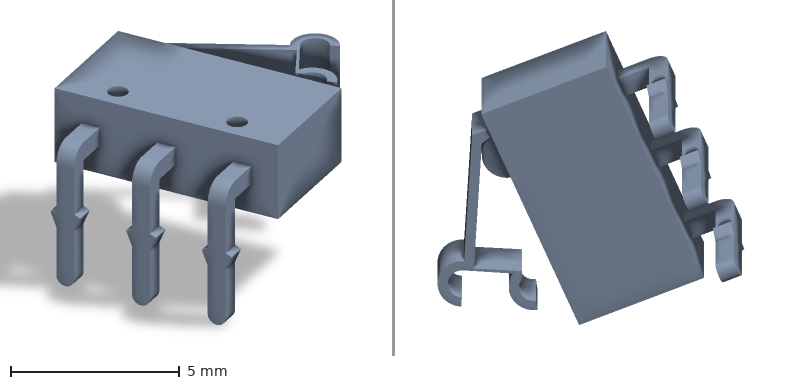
import cadquery as cq
import math

total_depth = 9.1
total_height = 5.6

body_length = 7.5
body_depth = 4.0
body_height = 2.49
hole_diameter = 0.65
hole_spacing = 3.995
hole_y = 0.7
hole_depth = 1.0

pin_size = 0.6
pin_pitch = 2.54
pin_reach = 1.6
pin_bottom_z = body_height / 2 - total_height
barb_half_width = 0.5
barb_top_z = -1.86
barb_tip_z = -1.95
barb_bottom_z = -2.43

plunger_radius = 0.75
plunger_x = -1.89
plunger_y = 3.96
plunger_width = 1.0

lever_width = 1.5
lever_angle = 26.0
lever_thickness = 0.3
strip_thickness = 0.077
hook_outer_radius = 0.75
hook_inner_radius = hook_outer_radius - lever_thickness
lever_foot_x = -3.0
foot_width = 0.21
foot_bend_x = -2.64
upper_hook_center = (1.39, total_depth - pin_reach - hook_outer_radius)
lower_hook_center = (2.31, 4.85)
lower_hook_end_angle = 15.0
lower_hook_outer_start_angle = 150.0
lower_hook_inner_start_angle = 147.0


def polar(center, radius, angle):
    """Point at an angle in degrees on a circle."""
    a = math.radians(angle)
    return (center[0] + radius * math.cos(a), center[1] + radius * math.sin(a))


def make_body():
    body = cq.Workplane("XY").box(body_length, body_depth, body_height)
    body = body.translate((0, body_depth / 2, 0))
    holes = (
        cq.Workplane("XY", origin=(0, 0, body_height / 2))
        .pushPoints([(-hole_spacing / 2, hole_y), (hole_spacing / 2, hole_y)])
        .circle(hole_diameter / 2)
        .extrude(-hole_depth)
    )
    return body.cut(holes)


def make_pin(x):
    half = pin_size / 2
    bend_center = (-pin_reach + pin_size, -half)
    arm = (
        cq.Workplane("YZ", origin=(x - half, 0, 0))
        .moveTo(0, -half)
        .lineTo(0, half)
        .lineTo(-pin_reach + pin_size, half)
        .threePointArc(polar(bend_center, pin_size, 135), (-pin_reach, -half))
        .close()
        .extrude(pin_size)
    )
    leg = (
        cq.Workplane("XZ", origin=(x, -pin_reach + pin_size, 0))
        .moveTo(-half, -half)
        .lineTo(-half, barb_top_z)
        .lineTo(-barb_half_width, barb_tip_z)
        .lineTo(-half, barb_bottom_z)
        .lineTo(-half, pin_bottom_z + half)
        .threePointArc((0, pin_bottom_z), (half, pin_bottom_z + half))
        .lineTo(half, barb_bottom_z)
        .lineTo(barb_half_width, barb_tip_z)
        .lineTo(half, barb_top_z)
        .lineTo(half, -half)
        .close()
        .extrude(pin_size)
    )
    return arm.union(leg)


def make_lever():
    slope = math.tan(math.radians(lever_angle))
    back = lever_angle + 180
    down = lever_angle - 90

    def arm_top_y(x):
        return upper_hook_center[1] + slope * (x - upper_hook_center[0])

    arm_drop = lever_thickness / math.cos(math.radians(lever_angle))
    hook_back = polar(upper_hook_center, hook_outer_radius, back)
    strip_top = polar(upper_hook_center, hook_inner_radius, back)

    strip_left = polar(upper_hook_center, hook_inner_radius + strip_thickness, back)
    arm_corner = polar(strip_left, lever_thickness, down)
    outer_start = polar(lower_hook_center, hook_outer_radius, lower_hook_outer_start_angle)
    inner_start = polar(lower_hook_center, hook_inner_radius, lower_hook_inner_start_angle)

    strip_length = (
        (inner_start[0] - strip_left[0]) * math.cos(math.radians(down))
        + (inner_start[1] - strip_left[1]) * math.sin(math.radians(down))
    )
    strip_corner = polar(strip_left, strip_length, down)

    lower_mid_angle = (lower_hook_end_angle + lower_hook_outer_start_angle) / 2
    profile = (
        cq.Workplane("XY", origin=(0, 0, -lever_width / 2))
        .moveTo(lever_foot_x, body_depth)
        .lineTo(lever_foot_x, arm_top_y(lever_foot_x))
        .lineTo(*hook_back)
        .threePointArc(
            polar(upper_hook_center, hook_outer_radius, lever_angle + 90),
            polar(upper_hook_center, hook_outer_radius, lever_angle),
        )
        .lineTo(*polar(upper_hook_center, hook_inner_radius, lever_angle))
        .threePointArc(polar(upper_hook_center, hook_inner_radius, lever_angle + 90), strip_top)
        .lineTo(*outer_start)
        .threePointArc(
            polar(lower_hook_center, hook_outer_radius, lower_mid_angle),
            polar(lower_hook_center, hook_outer_radius, lower_hook_end_angle),
        )
        .lineTo(*polar(lower_hook_center, hook_inner_radius, lower_hook_end_angle))
        .threePointArc(polar(lower_hook_center, hook_inner_radius, lower_mid_angle), inner_start)
        .lineTo(*strip_corner)
        .lineTo(*arm_corner)
        .lineTo(foot_bend_x, arm_top_y(foot_bend_x) - arm_drop)
        .lineTo(lever_foot_x + foot_width, body_depth)
        .close()
    )
    return profile.extrude(lever_width)


def make_plunger():
    return (
        cq.Workplane("XY", origin=(plunger_x, plunger_y, -plunger_width / 2))
        .circle(plunger_radius)
        .extrude(plunger_width)
    )


result = make_body().union(make_plunger()).union(make_lever())
for pin_index in (-1, 0, 1):
    result = result.union(make_pin(pin_index * pin_pitch))